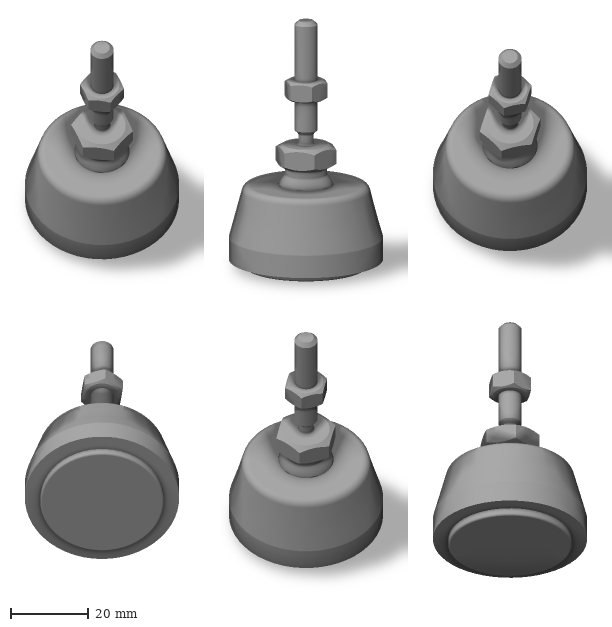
import cadquery as cq
import math


TOTAL_HEIGHT = 65.81

PAD_DIAMETER = 32.0
PAD_HEIGHT = 2.0
PAD_EDGE_FILLET = 0.5

CAP_DIAMETER = 40.0
CAP_HEIGHT = 20.0
CAP_RIM_HEIGHT = 6.0
CAP_TAPER_ANGLE = math.radians(15)
CAP_TOP_FILLET = 2.0
CAP_RIM_FILLET = 0.8
CAP_TOP_Z = PAD_HEIGHT + CAP_HEIGHT
SOCKET_MOUTH_DIAMETER = 14.3

BALL_DIAMETER = 15.0
BALL_CENTRE_DEPTH = 2.4
BALL_CENTRE_Z = CAP_TOP_Z - BALL_CENTRE_DEPTH
HEX_ACROSS_FLATS = 14.0
HEX_HEIGHT = 6.0
HEX_FACE_DIAMETER = 12.3
COLLAR_DIAMETER = 11.0
THREAD_DIAMETER = 6.0
THREAD_CHAMFER = 1.0
NECK_DIAMETER = 4.0
NECK_LENGTH = 3.8
THREADED_END_LENGTH = 33.0
SPINDLE_FILLET = 0.5
HEX_TOP_Z = TOTAL_HEIGHT - THREADED_END_LENGTH
HEX_BOTTOM_Z = HEX_TOP_Z - HEX_HEIGHT

NUT_ACROSS_FLATS = 10.0
NUT_HEIGHT = 5.2
NUT_FACE_DIAMETER = 9.0
NUT_BOTTOM_Z = 44.8

HEX_CHAMFER_ANGLE = math.radians(30)
SELECTION_MARGIN = 0.01


def hex_prism(across_flats, height, bottom_z):
    """Hexagonal prism with two of its flats facing +X and -X."""
    across_corners = across_flats / math.cos(math.pi / 6)
    return (
        cq.Workplane("XY", origin=(0, 0, bottom_z))
        .transformed(rotate=(0, 0, 30))
        .polygon(6, across_corners)
        .extrude(height)
    )


def chamfered_hexagon(across_flats, height, face_diameter, bottom_z):
    """Hexagon whose corners are cut by a cone at both ends, leaving round end faces."""
    corner_radius = across_flats / math.cos(math.pi / 6) / 2
    face_radius = face_diameter / 2
    chamfer_height = (corner_radius - face_radius) * math.tan(HEX_CHAMFER_ANGLE)
    top_z = bottom_z + height
    cone_envelope = (
        cq.Workplane("XZ")
        .moveTo(0, bottom_z)
        .lineTo(face_radius, bottom_z)
        .lineTo(corner_radius, bottom_z + chamfer_height)
        .lineTo(corner_radius, top_z - chamfer_height)
        .lineTo(face_radius, top_z)
        .lineTo(0, top_z)
        .close()
        .revolve()
    )
    return hex_prism(across_flats, height, bottom_z).intersect(cone_envelope)


def ball():
    return cq.Workplane("XY", origin=(0, 0, BALL_CENTRE_Z)).sphere(BALL_DIAMETER / 2)


def circle_at(z, diameter):
    """Selector for the circular edge of this diameter at height z."""
    reach = diameter / 2 + SELECTION_MARGIN
    return cq.selectors.BoxSelector(
        (-reach, -reach, z - SELECTION_MARGIN),
        (reach, reach, z + SELECTION_MARGIN),
        boundingbox=True,
    )


def make_pad():
    return (
        cq.Workplane("XY")
        .circle(PAD_DIAMETER / 2)
        .extrude(PAD_HEIGHT)
        .faces("<Z")
        .edges()
        .fillet(PAD_EDGE_FILLET)
    )


def make_cap():
    rim_radius = CAP_DIAMETER / 2
    rim_top_z = PAD_HEIGHT + CAP_RIM_HEIGHT
    top_radius = rim_radius - (CAP_TOP_Z - rim_top_z) * math.tan(CAP_TAPER_ANGLE)
    body = (
        cq.Workplane("XZ")
        .moveTo(0, PAD_HEIGHT)
        .lineTo(rim_radius, PAD_HEIGHT)
        .lineTo(rim_radius, rim_top_z)
        .lineTo(top_radius, CAP_TOP_Z)
        .lineTo(0, CAP_TOP_Z)
        .close()
        .revolve()
    )
    body = body.edges(circle_at(rim_top_z, CAP_DIAMETER)).fillet(CAP_RIM_FILLET)
    body = body.faces(">Z").edges().fillet(CAP_TOP_FILLET)

    mouth = (
        cq.Workplane("XY", origin=(0, 0, BALL_CENTRE_Z))
        .circle(SOCKET_MOUTH_DIAMETER / 2)
        .extrude(BALL_CENTRE_DEPTH)
    )
    return body.cut(ball()).cut(mouth)


def make_spindle():
    ball_bottom_z = BALL_CENTRE_Z - BALL_DIAMETER / 2
    flatted_ball = ball().intersect(hex_prism(HEX_ACROSS_FLATS, BALL_DIAMETER, ball_bottom_z))

    collar = (
        cq.Workplane("XY", origin=(0, 0, BALL_CENTRE_Z))
        .circle(COLLAR_DIAMETER / 2)
        .extrude(HEX_BOTTOM_Z - BALL_CENTRE_Z)
    )
    hexagon = chamfered_hexagon(HEX_ACROSS_FLATS, HEX_HEIGHT, HEX_FACE_DIAMETER, HEX_BOTTOM_Z)

    neck_radius = NECK_DIAMETER / 2
    thread_radius = THREAD_DIAMETER / 2
    thread_bottom_z = HEX_TOP_Z + NECK_LENGTH
    neck_top_z = thread_bottom_z - (thread_radius - neck_radius)
    shank = (
        cq.Workplane("XZ")
        .moveTo(0, HEX_TOP_Z)
        .lineTo(neck_radius, HEX_TOP_Z)
        .lineTo(neck_radius, neck_top_z)
        .lineTo(thread_radius, thread_bottom_z)
        .lineTo(thread_radius, TOTAL_HEIGHT - THREAD_CHAMFER)
        .lineTo(thread_radius - THREAD_CHAMFER, TOTAL_HEIGHT)
        .lineTo(0, TOTAL_HEIGHT)
        .close()
        .revolve()
    )

    spindle = flatted_ball.union(collar).union(hexagon).union(shank)

    collar_bottom_z = BALL_CENTRE_Z + math.sqrt(BALL_DIAMETER**2 - COLLAR_DIAMETER**2) / 2
    inside_corners = (
        (collar_bottom_z, COLLAR_DIAMETER),
        (HEX_BOTTOM_Z, COLLAR_DIAMETER),
        (HEX_TOP_Z, NECK_DIAMETER),
        (neck_top_z, NECK_DIAMETER),
    )
    for corner_z, corner_diameter in inside_corners:
        spindle = spindle.edges(circle_at(corner_z, corner_diameter)).fillet(SPINDLE_FILLET)
    return spindle


def make_nut():
    blank = chamfered_hexagon(NUT_ACROSS_FLATS, NUT_HEIGHT, NUT_FACE_DIAMETER, NUT_BOTTOM_Z)
    return blank.faces(">Z").workplane().hole(THREAD_DIAMETER)


pad = make_pad()
cap = make_cap()
spindle = make_spindle()
nut = make_nut()

result = cq.Compound.makeCompound([body.solids().val() for body in (pad, cap, spindle, nut)])